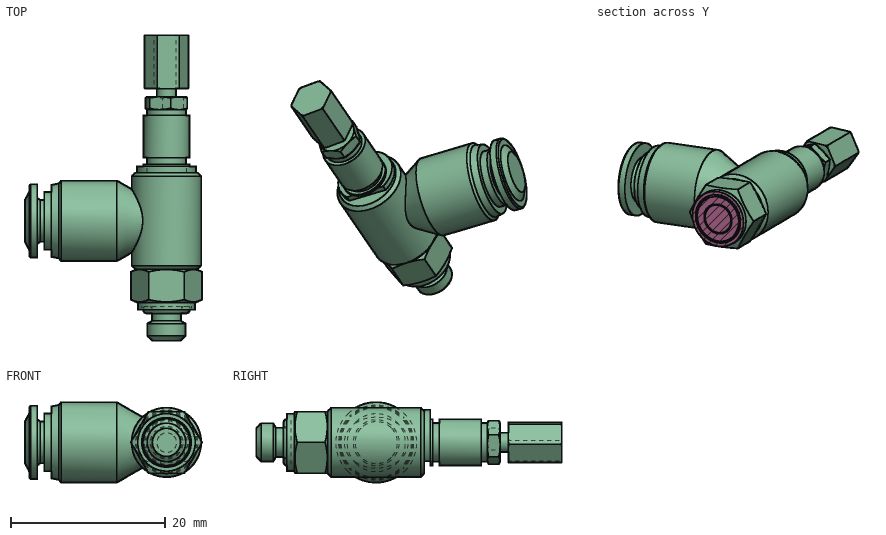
import cadquery as cq
import math


cone_slope = math.tan(math.radians(30))
crown_slope = math.tan(math.radians(25))

thread_radius = 2.5
thread_tip_radius = 1.83
thread_neck_radius = 1.9
tip_chamfer_end = 0.65
thread_end = 2.22
relief_start = thread_end + (thread_radius - thread_neck_radius) * cone_slope

flange_radius = 3.75
flange_start = 4.0
ring_groove_radius = 3.2
ring_groove_depth = 0.48
ring_center_radius = 2.5
ring_section_radius = 0.55
ring_center_y = 4.1

body_radius = 4.53
body_chamfer = 0.48
body_hex_flats = 8.0
body_hex_start = 4.92
body_hex_end = 9.35
body_start = 9.3
body_end = 21.85

collar_radius = 3.85
collar_offset_z = 0.4
collar_flat_z = -2.45
collar_end = 22.63

knob_radius = 3.0
knob_groove_radius = 2.55
knob_rim_end = 22.95
knob_start = 23.8
knob_end = 29.25

small_hex_flats = 5.0
lock_nut_start = 30.0
lock_nut_end = 31.7
lock_nut_angle = 19.5
lock_nut_crown_radius = 2.5
stem_radius = 1.27
adjuster_start = 32.75
adjuster_end = 39.7
adjuster_angle = 55.0
adjuster_crown_radius = 2.75

arm_y = 15.55
arm_radius = 5.25
arm_cone_start = 6.45
arm_end = 13.65
arm_shoulder = 13.97
cap_radius = 4.9
cap_tip_radius = 4.7
cap_end = 14.93
bush_radius = 3.77
bush_end = 15.88
sleeve_radius = 2.75
sleeve_flare_radius = 2.98
sleeve_flare_start = 16.4
button_radius = 4.75
button_start = 16.75
button_edge = 0.2
button_end = 17.83
button_bevel_radius = 3.77
button_tip_radius = 2.75
arm_length = 18.4


def revolve_on_y(profile):
    """Turn (radius, y) points about the Y axis."""
    outline = cq.Workplane("XY").polyline(profile).close()
    return outline.revolve(360, (0, 0, 0), (0, 1, 0))


def cylinder_on_y(radius, start, end):
    return revolve_on_y([(0, start), (radius, start), (radius, end), (0, end)])


def crowned_hex(flats, angle, start, end, crown_radius):
    """Hexagonal bar along Y whose end corners are turned down from crown_radius."""
    corner_radius = flats / math.sqrt(3)
    crown_height = (corner_radius - crown_radius) * crown_slope
    bar = (
        cq.Workplane("XZ", origin=(0, start, 0))
        .polygon(6, 2 * corner_radius)
        .extrude(start - end)
        .rotate((0, 0, 0), (0, 1, 0), -angle)
    )
    crown = revolve_on_y([
        (0, start),
        (crown_radius, start),
        (corner_radius, start + crown_height),
        (corner_radius, end - crown_height),
        (crown_radius, end),
        (0, end),
    ])
    return bar.intersect(crown)


def threaded_end():
    return revolve_on_y([
        (0, 0),
        (thread_tip_radius, 0),
        (thread_radius, tip_chamfer_end),
        (thread_radius, thread_end),
        (thread_neck_radius, relief_start),
        (thread_neck_radius, body_hex_start),
        (0, body_hex_start),
    ])


def sealing_flange():
    groove_floor = flange_start + ring_groove_depth
    flange = cylinder_on_y(flange_radius, flange_start, body_hex_start)
    groove = cylinder_on_y(ring_groove_radius, flange_start, groove_floor)
    ring = (
        cq.Workplane("XY")
        .center(ring_center_radius, ring_center_y)
        .circle(ring_section_radius)
        .revolve(360, (-ring_center_radius, 0, 0), (-ring_center_radius, 1, 0))
    )
    return flange.cut(groove).union(ring)


def valve_body():
    end_radius = body_radius - body_chamfer
    return revolve_on_y([
        (0, body_start),
        (end_radius, body_start),
        (body_radius, body_start + body_chamfer),
        (body_radius, body_end - body_chamfer),
        (end_radius, body_end),
        (0, body_end),
    ])


def flat_collar():
    length = collar_end - body_end
    top_z = collar_offset_z + collar_radius
    disc = cylinder_on_y(collar_radius, body_end, collar_end).translate((0, 0, collar_offset_z))
    keep = cq.Workplane("XY", origin=(0, body_end + length / 2, collar_flat_z)).box(
        2 * collar_radius, length, top_z - collar_flat_z, centered=(True, True, False)
    )
    return disc.intersect(keep)


def adjusting_knob():
    rim = cylinder_on_y(knob_radius, collar_end, knob_rim_end)
    core = cylinder_on_y(knob_groove_radius, knob_rim_end, lock_nut_start)
    grip = cylinder_on_y(knob_radius, knob_start, knob_end)
    return rim.union(core).union(grip)


def tube_arm():
    axis_radius = arm_radius - arm_cone_start * cone_slope
    profile = [
        (0, 0),
        (axis_radius, 0),
        (arm_radius, arm_cone_start),
        (arm_radius, arm_end),
        (cap_radius, arm_shoulder),
        (cap_tip_radius, cap_end),
        (bush_radius, cap_end),
        (bush_radius, bush_end),
        (sleeve_radius, bush_end),
        (sleeve_radius, sleeve_flare_start),
        (sleeve_flare_radius, button_start),
        (button_radius, button_start),
        (button_radius, button_end - button_edge),
        (button_radius - button_edge, button_end),
        (button_bevel_radius, button_end),
        (button_tip_radius, arm_length),
        (0, arm_length),
    ]
    return revolve_on_y(profile).rotate((0, 0, 0), (0, 0, 1), 90).translate((0, arm_y, 0))


body_hex = crowned_hex(body_hex_flats, 0, body_hex_start, body_hex_end, flange_radius)
lock_nut = crowned_hex(
    small_hex_flats, lock_nut_angle, lock_nut_start, lock_nut_end, lock_nut_crown_radius
)
stem = cylinder_on_y(stem_radius, lock_nut_end, adjuster_start)
adjuster = crowned_hex(
    small_hex_flats, adjuster_angle, adjuster_start, adjuster_end, adjuster_crown_radius
)

result = (
    valve_body()
    .union(tube_arm())
    .union(body_hex)
    .union(sealing_flange())
    .union(threaded_end())
    .union(flat_collar())
    .union(adjusting_knob())
    .union(lock_nut)
    .union(stem)
    .union(adjuster)
)